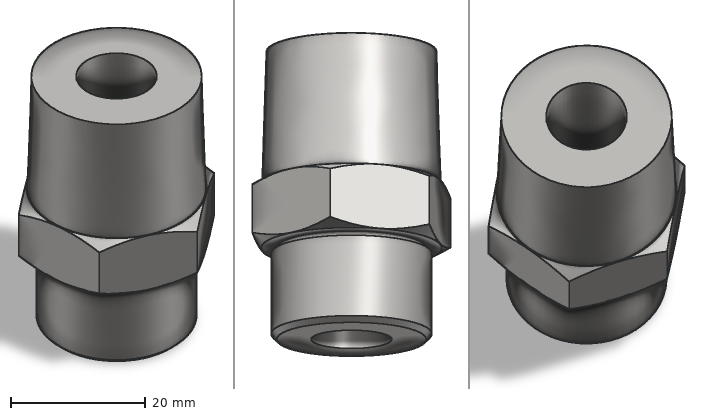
import cadquery as cq
import math

total_height = 44.0
hex_bottom = 14.0
hex_height = 9.85
hex_top = hex_bottom + hex_height

across_flats = 27.0
across_corners = across_flats / math.cos(math.pi / 6)
hex_face_diameter = 26.95
hex_chamfer_angle = math.radians(30)

spigot_diameter = 24.0
spigot_chamfer = 0.85

taper_bottom_diameter = 26.7
taper_top_diameter = 25.45

bore_diameter = 12.0


def hex_collar():
    """Hexagonal prism whose corners are trimmed by a cone at each end."""
    prism = (
        cq.Workplane("XY")
        .workplane(offset=hex_bottom)
        .polygon(6, across_corners)
        .extrude(hex_height)
        .rotate((0, 0, 0), (0, 0, 1), 30)
    )
    face_radius = hex_face_diameter / 2
    corner_radius = across_corners / 2
    corner_drop = (corner_radius - face_radius) * math.tan(hex_chamfer_angle)
    envelope = (
        cq.Workplane("XZ")
        .moveTo(0, hex_bottom)
        .lineTo(face_radius, hex_bottom)
        .lineTo(corner_radius, hex_bottom + corner_drop)
        .lineTo(corner_radius, hex_top - corner_drop)
        .lineTo(face_radius, hex_top)
        .lineTo(0, hex_top)
        .close()
        .revolve(360, (0, 0, 0), (0, 1, 0))
    )
    return prism.intersect(envelope)


def lower_spigot():
    """Cylinder below the collar; its upper chamfer leaves a small relief groove."""
    return (
        cq.Workplane("XY")
        .circle(spigot_diameter / 2)
        .extrude(hex_bottom)
        .edges()
        .chamfer(spigot_chamfer)
    )


def tapered_spigot():
    """Cone above the collar, narrowing towards the upper end."""
    return (
        cq.Workplane("XY")
        .workplane(offset=hex_top)
        .circle(taper_bottom_diameter / 2)
        .workplane(offset=total_height - hex_top)
        .circle(taper_top_diameter / 2)
        .loft(ruled=True)
    )


bore = cq.Workplane("XY").circle(bore_diameter / 2).extrude(total_height)

result = hex_collar().union(lower_spigot()).union(tapered_spigot()).cut(bore)